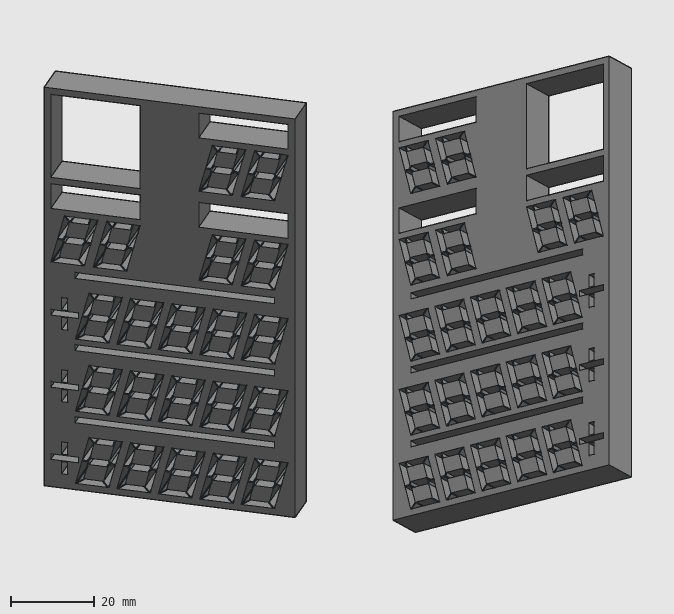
import cadquery as cq
import math

WIDTH = 63.0
DEPTH = 9.5
HEIGHT = 106.0
MARGIN = 1.7
RIGHT_MARGIN = 1.8

WINDOW_WIDTH = 22.4
SQUARE_WINDOW_HEIGHT = 22.0
LOW_WINDOW_HEIGHT = 6.6
WINDOW_SPACING = 1.7

DIGIT_WIDTH = 8.4
DIGIT_HEIGHT = 12.6
SLANT = math.tan(math.radians(15))
SEGMENT_WIDTH = 1.7
END_SEGMENT_HEIGHT = 1.5
MIDDLE_SEGMENT_HEIGHT = 1.7
MIDDLE_TIP = 0.4
SEGMENT_GAP = 0.3

LONG_ROW_DIGITS = 5
LONG_ROW_DIGIT_PITCH = 10.4
SHORT_ROW_DIGITS = 2
ROW_PITCH = 19.2
LONG_ROW_COUNT = 3
WINDOW_TO_DIGITS = 1.6

SEPARATOR_LEFT = 7.7
SEPARATOR_LENGTH = 50.0
SEPARATOR_HEIGHT = 1.6
SEPARATOR_TO_DIGITS = 3.5

PLUS_WIDTH = 6.9
PLUS_HEIGHT = 8.5
PLUS_STROKE = 1.5
PLUS_GAP = 0.26

SLANTED_DIGIT_WIDTH = DIGIT_WIDTH + SLANT * DIGIT_HEIGHT
SHORT_ROW_DIGIT_PITCH = (WINDOW_WIDTH - SLANTED_DIGIT_WIDTH) / (SHORT_ROW_DIGITS - 1)

RIGHT_LIMIT = WIDTH - RIGHT_MARGIN
LEFT_WINDOW_RIGHT = MARGIN + WINDOW_WIDTH
RIGHT_WINDOW_LEFT = RIGHT_LIMIT - WINDOW_WIDTH
WINDOW_TOP = HEIGHT - MARGIN
LOWER_WINDOW_TOP = WINDOW_TOP - SQUARE_WINDOW_HEIGHT - WINDOW_SPACING


def through_cut(points):
    """Prism through the full plate depth with the given (x, z) outline."""
    return cq.Workplane("XZ").polyline(points).close().extrude(-DEPTH).val()


def rectangle_cut(left, bottom, width, height):
    """Rectangular prism through the plate."""
    return cq.Workplane("XY").box(width, DEPTH, height, centered=False).translate((left, 0, bottom)).val()


def segment_outlines():
    """Outlines of the seven segments of an upright digit with its corner at the origin."""
    middle = DIGIT_HEIGHT / 2
    half_gap = SEGMENT_GAP / 2
    left_inner = SEGMENT_WIDTH
    right_inner = DIGIT_WIDTH - SEGMENT_WIDTH
    bottom_inner = END_SEGMENT_HEIGHT
    top_inner = DIGIT_HEIGHT - END_SEGMENT_HEIGHT
    half_bar = MIDDLE_SEGMENT_HEIGHT / 2

    top = [
        (SEGMENT_GAP, DIGIT_HEIGHT),
        (right_inner - SEGMENT_GAP, DIGIT_HEIGHT),
        (right_inner - SEGMENT_GAP, top_inner),
        (left_inner + SEGMENT_GAP, top_inner),
    ]
    bottom = [
        (SEGMENT_GAP, 0),
        (DIGIT_WIDTH - SEGMENT_GAP, 0),
        (right_inner - SEGMENT_GAP, bottom_inner),
        (left_inner + SEGMENT_GAP, bottom_inner),
    ]
    center = [
        (left_inner - MIDDLE_TIP + SEGMENT_GAP, middle),
        (left_inner + SEGMENT_GAP, middle + half_bar),
        (right_inner - SEGMENT_GAP, middle + half_bar),
        (right_inner + MIDDLE_TIP - SEGMENT_GAP, middle),
        (right_inner - SEGMENT_GAP, middle - half_bar),
        (left_inner + SEGMENT_GAP, middle - half_bar),
    ]
    upper_left = [
        (0, middle + half_gap),
        (0, DIGIT_HEIGHT),
        (left_inner, top_inner),
        (left_inner, middle + half_bar),
        (left_inner - MIDDLE_TIP, middle + half_gap),
    ]
    lower_left = [(x, DIGIT_HEIGHT - z) for x, z in upper_left]
    lower_right = [(DIGIT_WIDTH - x, z) for x, z in lower_left]
    upper_right = [
        (DIGIT_WIDTH, middle + half_gap),
        (DIGIT_WIDTH, DIGIT_HEIGHT),
        (right_inner, DIGIT_HEIGHT),
        (right_inner, middle + half_bar),
        (right_inner + MIDDLE_TIP, middle + half_gap),
    ]
    return [top, bottom, center, upper_left, lower_left, upper_right, lower_right]


def digit_row(right, bottom, count, pitch):
    """Cuts for a row of slanted digits whose top right corner lies at x = right."""
    last_left = right - SLANTED_DIGIT_WIDTH
    cuts = []
    for index in range(count):
        left = last_left - index * pitch
        for outline in segment_outlines():
            cuts.append(through_cut([(left + x + SLANT * z, bottom + z) for x, z in outline]))
    return cuts


def plus_sign(left, center_z):
    """Cuts for a plus sign: one horizontal bar and two separate upright arms."""
    arm_offset = PLUS_STROKE / 2 + PLUS_GAP
    arm_length = PLUS_HEIGHT / 2 - arm_offset
    arm_left = left + (PLUS_WIDTH - PLUS_STROKE) / 2
    return [
        rectangle_cut(left, center_z - PLUS_STROKE / 2, PLUS_WIDTH, PLUS_STROKE),
        rectangle_cut(arm_left, center_z + arm_offset, PLUS_STROKE, arm_length),
        rectangle_cut(arm_left, center_z - arm_offset - arm_length, PLUS_STROKE, arm_length),
    ]


def window(left, top, height):
    """Cut for a rectangular window hanging from its top edge."""
    return rectangle_cut(left, top - height, WINDOW_WIDTH, height)


cuts = [
    window(MARGIN, WINDOW_TOP, SQUARE_WINDOW_HEIGHT),
    window(RIGHT_WINDOW_LEFT, WINDOW_TOP, LOW_WINDOW_HEIGHT),
    window(MARGIN, LOWER_WINDOW_TOP, LOW_WINDOW_HEIGHT),
    window(RIGHT_WINDOW_LEFT, LOWER_WINDOW_TOP, LOW_WINDOW_HEIGHT),
]

short_row_drop = LOW_WINDOW_HEIGHT + WINDOW_TO_DIGITS + DIGIT_HEIGHT
cuts += digit_row(RIGHT_LIMIT, WINDOW_TOP - short_row_drop, SHORT_ROW_DIGITS, SHORT_ROW_DIGIT_PITCH)
for right in (LEFT_WINDOW_RIGHT, RIGHT_LIMIT):
    cuts += digit_row(right, LOWER_WINDOW_TOP - short_row_drop, SHORT_ROW_DIGITS, SHORT_ROW_DIGIT_PITCH)

for row in range(LONG_ROW_COUNT):
    row_bottom = MARGIN + row * ROW_PITCH
    separator_bottom = row_bottom + DIGIT_HEIGHT + SEPARATOR_TO_DIGITS
    cuts += digit_row(RIGHT_LIMIT, row_bottom, LONG_ROW_DIGITS, LONG_ROW_DIGIT_PITCH)
    cuts += plus_sign(MARGIN, row_bottom + DIGIT_HEIGHT / 2)
    cuts.append(rectangle_cut(SEPARATOR_LEFT, separator_bottom, SEPARATOR_LENGTH, SEPARATOR_HEIGHT))

plate = cq.Workplane("XY").box(WIDTH, DEPTH, HEIGHT, centered=False)
result = plate.cut(cq.Workplane(cq.Compound.makeCompound(cuts)))